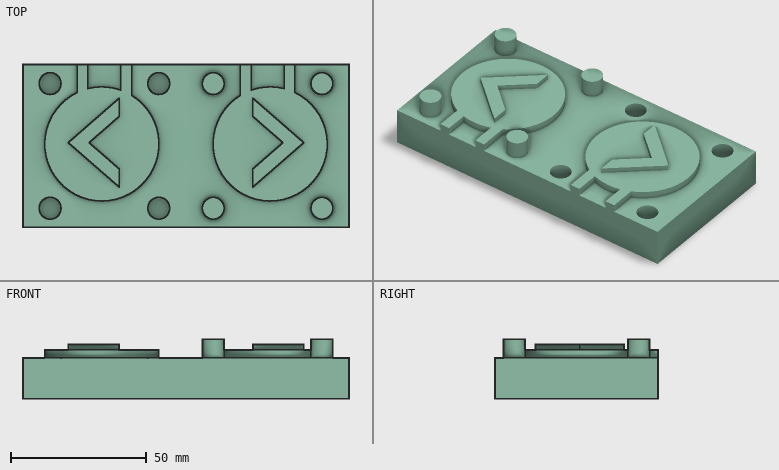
import cadquery as cq

plate_length = 120.0
plate_width = 60.0
plate_thickness = 15.0

pin_diameter = 8.0
pin_height = 7.0
hole_depth = pin_height
pin_spacing_x = 40.0
pin_spacing_y = 45.8
half_center_x = plate_length / 4

disc_radius = 21.0
disc_height = 3.0
disc_center_x = 31.0
disc_center_y = 0.7

rib_span = 20.0
rib_width = 4.0

chevron_tip_x = 43.3
chevron_back_x = 24.6
chevron_center_y = 1.2
chevron_half_height = 16.3
chevron_arm_width = 7.7
chevron_height = 2.0
chevron_slope = chevron_half_height / (chevron_tip_x - chevron_back_x)
inner_tip_x = chevron_tip_x - chevron_arm_width
inner_half_height = chevron_slope * (inner_tip_x - chevron_back_x)

disc_top = plate_thickness + disc_height


def pin_cylinders(side, bottom, height):
    """Four upright cylinders on the given half of the plate (+1 or -1)."""
    return (
        cq.Workplane("XY", origin=(side * half_center_x, 0, bottom))
        .rarray(pin_spacing_x, pin_spacing_y, 2, 2)
        .circle(pin_diameter / 2)
        .extrude(height)
    )


def disc(side):
    return (
        cq.Workplane("XY", origin=(side * disc_center_x, disc_center_y, plate_thickness))
        .circle(disc_radius)
        .extrude(disc_height)
    )


def ribs(side):
    """Two parallel ribs running from the disc's centre line to the back edge."""
    rib_length = plate_width / 2 - disc_center_y
    rib_center_y = disc_center_y + rib_length / 2
    return (
        cq.Workplane("XY", origin=(side * half_center_x, rib_center_y, plate_thickness))
        .rarray(rib_span - rib_width, 1.2, 2, 1)
        .rect(rib_width, rib_length)
        .extrude(disc_height)
    )


def chevron(side):
    outline = [
        (chevron_tip_x, 0),
        (chevron_back_x, chevron_half_height),
        (chevron_back_x, inner_half_height),
        (inner_tip_x, 0),
        (chevron_back_x, -inner_half_height),
        (chevron_back_x, -chevron_half_height),
    ]
    return (
        cq.Workplane("XY", origin=(0, chevron_center_y, disc_top))
        .polyline([(side * x, y) for x, y in outline])
        .close()
        .extrude(chevron_height)
    )


result = cq.Workplane("XY").box(
    plate_length, plate_width, plate_thickness, centered=(True, True, False)
)
for side in (-1, 1):
    result = result.union(disc(side)).union(ribs(side)).union(chevron(side))

result = result.union(pin_cylinders(1, plate_thickness, pin_height))
result = result.cut(pin_cylinders(-1, plate_thickness - hole_depth, hole_depth))